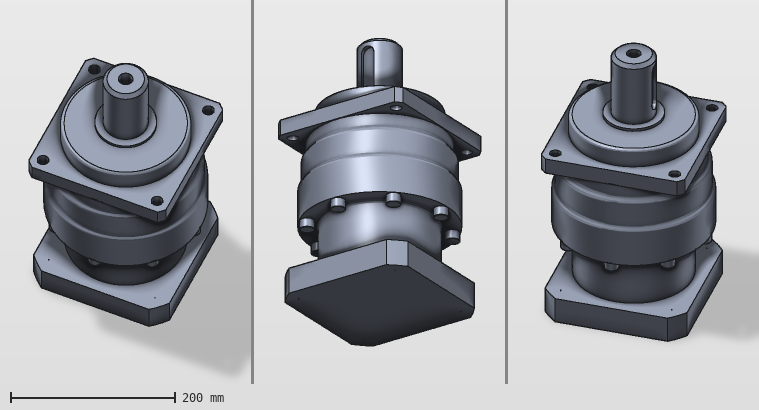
import cadquery as cq
import math

total_height = 349.0
base_top = 34.0
housing_bottom = 105.7
flange_bottom = 215.7
flange_top = 236.3
register_top = 260.5
collar_top = 264.0

base_side = 181.0
base_corner_radius = 115.5
flange_side = 183.2
flange_corner_radius = 124.2

neck_radius = 75.0
neck_fillet = 4.0
rim_diameter = 200.0
rim_radius = rim_diameter / 2
middle_radius = 95.5
upper_radius = 90.5
register_radius = 79.5
register_lead_height = 2.0
register_lead_width = 4.5
register_fillet = 3.5
collar_radius = 37.7

lower_shoulder_z = 154.5
lower_shoulder_blend = 4.0
upper_shoulder_z = 193.0
upper_shoulder_blend = 5.0

shaft_radius = 27.5
shaft_chamfer = 5.0
centre_hole_radius = 8.7
centre_hole_depth = 28.0
drill_point_angle = 118.0

keyway_width = 18.0
keyway_depth = 6.0
keyway_bottom = 274.0
keyway_top = 338.5

flange_hole_radius = 7.0
flange_hole_offset = 76.0
pinhole_radius = 0.17
pinhole_offset = 71.0
screw_count = 8
screw_ring_radius = 90.0
screw_head_radius = 9.0
screw_head_height = 12.0
screw_head_chamfer = 0.52


def disc(radius, bottom, top):
    return cq.Workplane("XY").workplane(offset=bottom).circle(radius).extrude(top - bottom)


def turned_plate(side, corner_radius, bottom, top):
    """Square plate whose corners are turned down to a cylinder about the axis."""
    square = cq.Workplane("XY").workplane(offset=bottom).rect(side, side).extrude(top - bottom)
    return square.intersect(disc(corner_radius, bottom, top))


def corner_holes(radius, offset, bottom, top):
    """Four cutters at the corners of a square of half-width offset."""
    plane = cq.Workplane("XY").workplane(offset=bottom)
    corners = plane.rect(2 * offset, 2 * offset, forConstruction=True).vertices()
    return corners.circle(radius).extrude(top - bottom)


def circle_edge(radius, z):
    """Selector for the circular edge of the given radius lying at height z."""
    slack = 0.5
    reach = radius + slack
    low_corner = (-reach, -reach, z - slack)
    high_corner = (reach, reach, z + slack)
    return cq.selectors.BoxSelector(low_corner, high_corner, boundingbox=True)


def make_housing():
    """Neck and stepped housing, with blended shoulders."""
    lower_shoulder_top = lower_shoulder_z + rim_radius - middle_radius
    upper_shoulder_top = upper_shoulder_z + middle_radius - upper_radius
    outline = [
        (0, base_top),
        (neck_radius, base_top),
        (neck_radius, housing_bottom),
        (rim_radius, housing_bottom),
        (rim_radius, lower_shoulder_z),
        (middle_radius, lower_shoulder_top),
        (middle_radius, upper_shoulder_z),
        (upper_radius, upper_shoulder_top),
        (upper_radius, flange_bottom),
        (0, flange_bottom),
    ]
    housing = cq.Workplane("XZ").polyline(outline).close().revolve(360, (0, 0), (0, 1))
    blends = [
        (neck_radius, housing_bottom, neck_fillet),
        (rim_radius, lower_shoulder_z, lower_shoulder_blend),
        (middle_radius, lower_shoulder_top, lower_shoulder_blend),
        (middle_radius, upper_shoulder_z, upper_shoulder_blend),
        (upper_radius, upper_shoulder_top, upper_shoulder_blend),
    ]
    for radius, z, blend in blends:
        housing = housing.edges(circle_edge(radius, z)).fillet(blend)
    return housing


def make_register():
    """Locating spigot with a shallow conical lead-in, rounded into its wall."""
    spigot = disc(register_radius, flange_top, register_top)
    spigot = spigot.faces(">Z").edges().chamfer(register_lead_height, register_lead_width)
    wall_top = circle_edge(register_radius, register_top - register_lead_height)
    return spigot.edges(wall_top).fillet(register_fillet)


def make_screw_heads():
    ring = cq.Workplane("XY").workplane(offset=housing_bottom)
    ring = ring.polarArray(screw_ring_radius, 0, 360, screw_count)
    heads = ring.circle(screw_head_radius).extrude(-screw_head_height)
    return heads.faces("<Z").edges().chamfer(screw_head_chamfer)


def make_centre_hole():
    """Blind drilled hole with a conical bottom, in the end of the shaft."""
    point_depth = centre_hole_radius / math.tan(math.radians(drill_point_angle / 2))
    hole_bottom = total_height - centre_hole_depth
    outline = [
        (0, total_height),
        (centre_hole_radius, total_height),
        (centre_hole_radius, hole_bottom),
        (0, hole_bottom - point_depth),
    ]
    return cq.Workplane("XZ").polyline(outline).close().revolve(360, (0, 0), (0, 1))


def make_keyway():
    """Round-ended key slot, cut inwards from the +Y side of the shaft."""
    middle = (keyway_bottom + keyway_top) / 2
    slot = cq.Workplane("XZ", origin=(0, shaft_radius, middle))
    return slot.slot2D(keyway_top - keyway_bottom, keyway_width, 90).extrude(keyway_depth)


def make_shaft():
    shaft = disc(shaft_radius, register_top, total_height).faces(">Z").edges().chamfer(shaft_chamfer)
    return shaft.cut(make_centre_hole()).cut(make_keyway())


base = turned_plate(base_side, base_corner_radius, 0, base_top)
base = base.cut(corner_holes(pinhole_radius, pinhole_offset, 0, base_top))

flange = turned_plate(flange_side, flange_corner_radius, flange_bottom, flange_top)
flange = flange.cut(corner_holes(flange_hole_radius, flange_hole_offset, flange_bottom, flange_top))

result = (
    make_housing()
    .union(make_screw_heads())
    .union(base)
    .union(flange)
    .union(make_register())
    .union(disc(collar_radius, register_top, collar_top))
    .union(make_shaft())
)